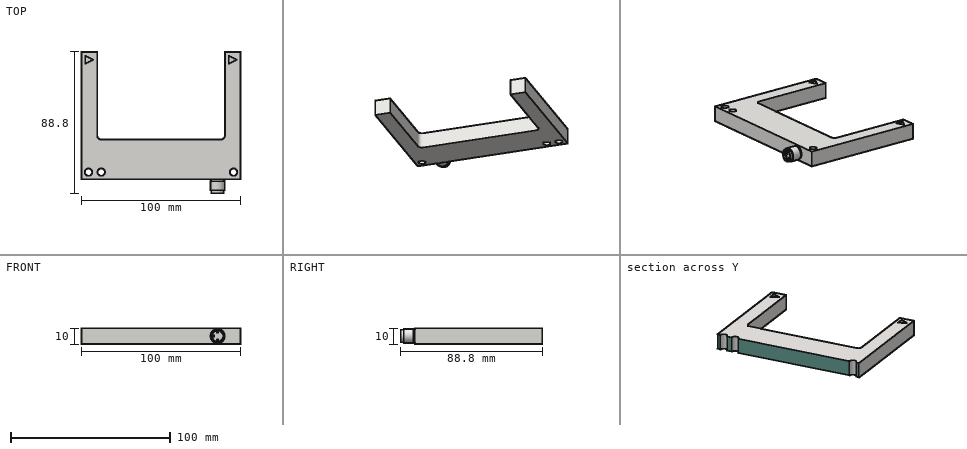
import cadquery as cq

body_width = 100.0
body_depth = 80.0
body_height = 10.0
arm_width = 10.0
slot_depth = 55.0
slot_corner_radius = 2.5

hole_diameter = 4.5
hole_inset = 4.5
hole_pitch = 8.0

arrow_size = 5.0
arrow_depth = 0.2

plug_x = 85.5
plug_length = 8.8
neck_radius = 4.0
collar_radius = 4.5
collar_start = 1.1
collar_end = 6.9
socket_radius = 3.5
socket_depth = 2.0
pin_radius = 0.5
pin_circle_radius = 2.5
pin_length = socket_depth
pin_angles = (90, 180, 270)


def make_body():
    """Block with a rounded slot open to the back, leaving two arms."""
    block = cq.Workplane("XY").box(body_width, body_depth, body_height, centered=False)
    slot = (
        cq.Workplane("XY")
        .box(body_width - 2 * arm_width, slot_depth, body_height, centered=False)
        .translate((arm_width, body_depth - slot_depth, 0))
        .edges("|Z and <Y")
        .fillet(slot_corner_radius)
    )
    return block.cut(slot)


def cut_mounting_holes(body):
    """One hole in the right corner, two in the left."""
    hole_xs = (hole_inset, hole_inset + hole_pitch, body_width - hole_inset)
    holes = (
        cq.Workplane("XY")
        .pushPoints([(x, hole_inset) for x in hole_xs])
        .circle(hole_diameter / 2)
        .extrude(body_height)
    )
    return body.cut(holes)


def cut_arrow_marks(body):
    """A triangle pointing along +X, centred on the tip of each arm."""
    arrow_y = body_depth - arm_width / 2
    half = arrow_size / 2
    for arm_center in (arm_width / 2, body_width - arm_width / 2):
        arrow = (
            cq.Workplane("XY", origin=(arm_center, arrow_y, body_height - arrow_depth))
            .polyline([(-half, -half), (half, 0), (-half, half)])
            .close()
            .extrude(arrow_depth)
        )
        body = body.cut(arrow)
    return body


def make_plug():
    """Turned plug with a tapered collar, an open socket and contact pins."""
    profile = [
        (0, 0),
        (neck_radius, 0),
        (collar_radius, -collar_start),
        (collar_radius, -collar_end),
        (neck_radius, -collar_end),
        (neck_radius, -plug_length),
        (socket_radius, -plug_length),
        (socket_radius, socket_depth - plug_length),
        (0, socket_depth - plug_length),
    ]
    plug = cq.Workplane("XY").polyline(profile).close().revolve(360, (0, 0), (0, 1))
    for angle in pin_angles:
        pin = (
            cq.Workplane("XZ", origin=(0, socket_depth - plug_length, 0))
            .transformed(rotate=(0, 0, angle))
            .center(pin_circle_radius, 0)
            .circle(pin_radius)
            .extrude(pin_length)
        )
        plug = plug.union(pin)
    return plug.translate((plug_x, 0, body_height / 2))


body = cut_arrow_marks(cut_mounting_holes(make_body()))
result = body.union(make_plug())